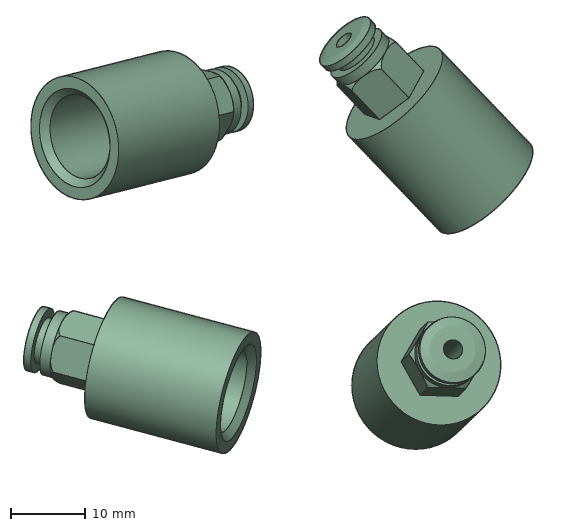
import cadquery as cq
import math

total_length = 29.6
sleeve_length = 19.0
hex_end = 25.52
collar_end = 27.0
groove_end = 28.3

sleeve_diameter = 17.0
hex_across_flats = 9.0
hex_across_corners = hex_across_flats / math.cos(math.pi / 6)
hex_rounding_length = 0.77
hex_rounding_bulge = 0.1
collar_diameter = hex_across_flats
groove_diameter = 6.4
end_chamfer_radial = 1.35
end_chamfer_length = 0.27

bore_diameter = 11.6
bore_depth = 15.0
mouth_diameter = 13.62
mouth_depth = 1.0
passage_diameter = 2.6


def revolve_profile(points):
    """Revolve a closed (radius, Y) profile about the Y axis."""
    profile = cq.Workplane("XY").polyline(points).close()
    return profile.revolve(360, (0, 0, 0), (0, 1, 0))


def make_turned_body():
    """Sleeve, collar, groove and chamfered end flange."""
    sleeve_radius = sleeve_diameter / 2
    collar_radius = collar_diameter / 2
    groove_radius = groove_diameter / 2
    return revolve_profile([
        (0, 0),
        (sleeve_radius, 0),
        (sleeve_radius, sleeve_length),
        (collar_radius, sleeve_length),
        (collar_radius, collar_end),
        (groove_radius, collar_end),
        (groove_radius, groove_end),
        (collar_radius, groove_end),
        (collar_radius, total_length - end_chamfer_length),
        (collar_radius - end_chamfer_radial, total_length),
        (0, total_length),
    ])


def make_hex():
    """Hexagon with corners on the X axis and its far end rounded off by a revolved arc."""
    prism = (
        cq.Workplane("XZ", origin=(0, sleeve_length, 0))
        .polygon(6, hex_across_corners)
        .extrude(sleeve_length - hex_end)
    )
    corner_radius = hex_across_corners / 2
    rounding_start = (corner_radius, hex_end - hex_rounding_length)
    rounding_end = (hex_across_flats / 2, hex_end)
    envelope = (
        cq.Workplane("XY")
        .moveTo(0, sleeve_length)
        .lineTo(corner_radius, sleeve_length)
        .lineTo(*rounding_start)
        .sagittaArc(rounding_end, -hex_rounding_bulge)
        .lineTo(0, hex_end)
        .close()
        .revolve(360, (0, 0, 0), (0, 1, 0))
    )
    return prism.intersect(envelope)


def make_cavity():
    """Blind bore with a flared mouth, and the passage through the whole part."""
    bore_radius = bore_diameter / 2
    passage_radius = passage_diameter / 2
    return revolve_profile([
        (0, 0),
        (mouth_diameter / 2, 0),
        (bore_radius, mouth_depth),
        (bore_radius, bore_depth),
        (passage_radius, bore_depth),
        (passage_radius, total_length),
        (0, total_length),
    ])


result = make_turned_body().union(make_hex()).cut(make_cavity())